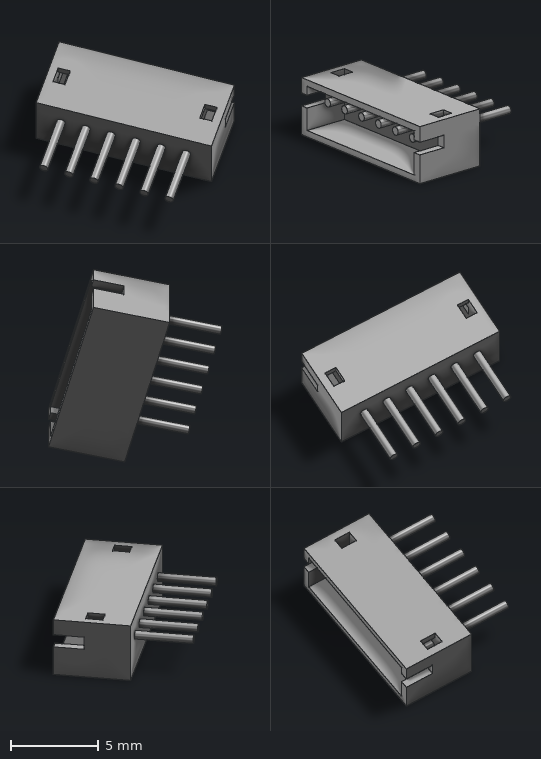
import cadquery as cq

PIN_COUNT = 6
PIN_PITCH = 1.5
PIN_DIAMETER = 0.5
PIN_TAIL = 3.4
PIN_TIP_RECESS = 0.7
PIN_HEIGHT = 2.2

END_MARGIN = 1.5
HOUSING_LENGTH = (PIN_COUNT - 1) * PIN_PITCH + 2 * END_MARGIN
HOUSING_DEPTH = 4.5
HOUSING_HEIGHT = 3.5

END_WALL = 0.5
TOP_WALL = 0.4
CAVITY_LENGTH = HOUSING_LENGTH - 2 * END_WALL
CAVITY_HEIGHT = HOUSING_HEIGHT - 2 * TOP_WALL
CAVITY_DEPTH = 2.8

SLOT_DEPTH = 1.8
SLOT_BOTTOM = 1.77
SLOT_HEIGHT = 0.77

WINDOW_LENGTH_X = 0.72
WINDOW_LENGTH_Y = CAVITY_DEPTH - SLOT_DEPTH


def box_from_corner(corner, size_x, size_y, size_z):
    """Box whose minimum X, Y, Z corner sits at the given point."""
    return cq.Workplane("XY").box(size_x, size_y, size_z, centered=False).translate(corner)


def centred_block(depth_from_mating_face, length, bottom, height):
    """Block centred on X that reaches from the mating face into the housing."""
    corner = (-length / 2, HOUSING_DEPTH - depth_from_mating_face, bottom)
    return box_from_corner(corner, length, depth_from_mating_face, height)


def make_housing():
    housing = centred_block(HOUSING_DEPTH, HOUSING_LENGTH, 0, HOUSING_HEIGHT)
    cavity = centred_block(CAVITY_DEPTH, CAVITY_LENGTH, TOP_WALL, CAVITY_HEIGHT)
    end_slots = centred_block(SLOT_DEPTH, HOUSING_LENGTH, SLOT_BOTTOM, SLOT_HEIGHT)
    housing = housing.cut(cavity).cut(end_slots)

    cavity_end = CAVITY_LENGTH / 2
    window_y = HOUSING_DEPTH - CAVITY_DEPTH
    for window_x in (-cavity_end, cavity_end - WINDOW_LENGTH_X):
        corner = (window_x, window_y, HOUSING_HEIGHT - TOP_WALL)
        housing = housing.cut(box_from_corner(corner, WINDOW_LENGTH_X, WINDOW_LENGTH_Y, TOP_WALL))
    return housing


def make_pins():
    """Row of round pins along Y, centred on X."""
    pin_length = PIN_TAIL + HOUSING_DEPTH - PIN_TIP_RECESS
    return (
        cq.Workplane("XZ", origin=(0, -PIN_TAIL, PIN_HEIGHT))
        .rarray(PIN_PITCH, 1, PIN_COUNT, 1)
        .circle(PIN_DIAMETER / 2)
        .extrude(-pin_length)
    )


result = make_housing().union(make_pins())